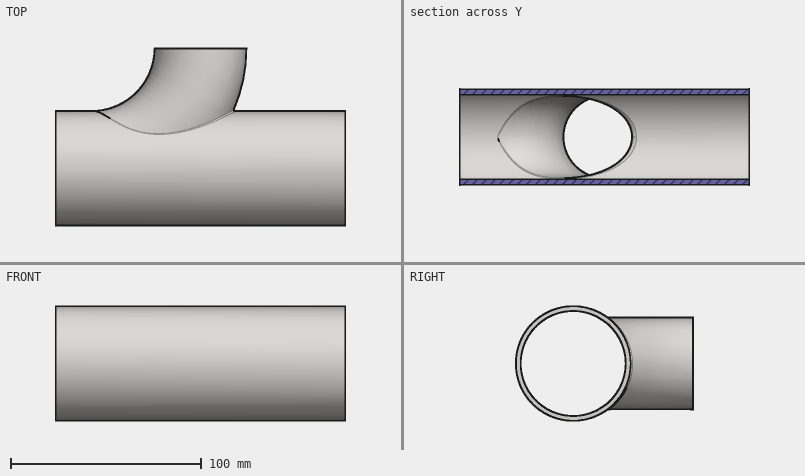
import cadquery as cq

run_length = 152.0
run_outer_diameter = 60.3
run_inner_diameter = 55.0
wall = (run_outer_diameter - run_inner_diameter) / 2

branch_outer_diameter = 48.3
branch_inner_diameter = branch_outer_diameter - 2 * wall
bend_angle = 90.0
overall_width = 93.2
branch_face_y = overall_width - run_outer_diameter / 2

tangent_overlap = 0.02
bend_inner_radius = branch_face_y - run_outer_diameter / 2 + tangent_overlap
bend_radius = bend_inner_radius + branch_outer_diameter / 2

outer_junction_radius = 0.6
inner_junction_radius = 2.3


def run_cylinder(diameter):
    """Full-length cylinder on the X axis, centred on the origin."""
    return cq.Workplane("YZ").circle(diameter / 2).extrude(run_length / 2, both=True)


def elbow(diameter):
    """Quarter bend from the branch face down into the run pipe, curving toward -X."""
    return (
        cq.Workplane("XZ", origin=(0, branch_face_y, 0))
        .circle(diameter / 2)
        .revolve(bend_angle, (-bend_radius, 1.5, 0), (-bend_radius, 0, 0))
    )


def tee(run_diameter, branch_diameter, junction_radius):
    """Run cylinder joined to the elbow, rounded along the saddle curve between them."""
    joined = run_cylinder(run_diameter).union(elbow(branch_diameter))
    saddle_edges = joined.edges("%BSPLINE").vals()
    return joined.newObject(saddle_edges).fillet(junction_radius)


body = tee(run_outer_diameter, branch_outer_diameter, outer_junction_radius)
bore = tee(run_inner_diameter, branch_inner_diameter, inner_junction_radius)
result = body.cut(bore)